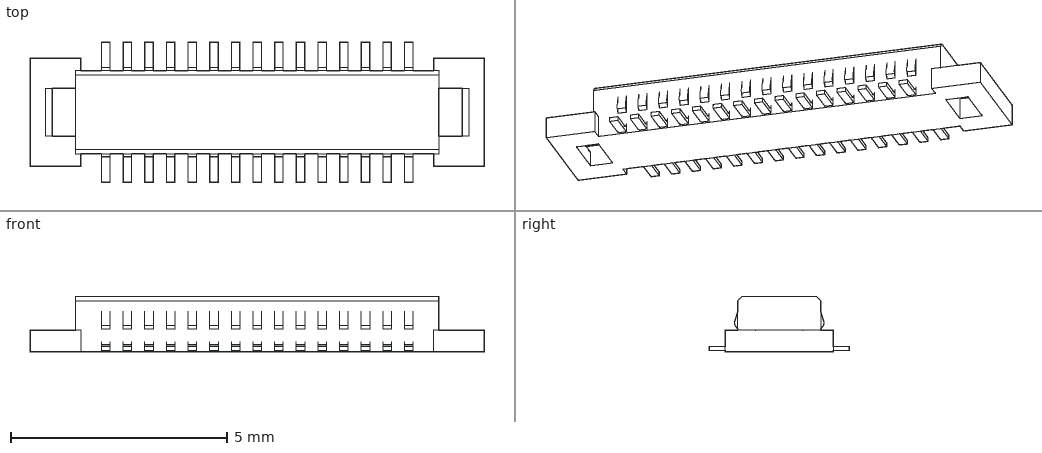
import cadquery as cq
import math

total_length = 10.5
lead_span = 3.24
total_height = 1.28

housing_length = 8.4
housing_width = 1.92
housing_chamfer = 0.1

ear_length = 1.18
ear_width = 2.5
ear_height = 0.5

slot_width = 1.1
rim_width = 0.51
rim_chamfer = 0.16

contacts_per_side = 15
contact_row_length = 7.0
contact_pitch = contact_row_length / (contacts_per_side - 1)
contact_width = 0.2
lead_bottom = 0.03
lead_thickness = 0.09
heel_radius = 0.1
heel_facets = 3
bump_bottom = 0.52
bump_top = 0.93
crest_bottom = 0.61
crest_middle = 0.65
crest_top = 0.69
crest_reach = 0.07
crest_drop = 0.01
contact_root = 0.1

half_length = total_length / 2
half_housing = housing_length / 2
housing_side = housing_width / 2
root_y = housing_side - contact_root


def make_housing():
    block = cq.Workplane("XY").box(
        housing_length, housing_width, total_height, centered=(True, True, False)
    )
    return block.faces(">Z").edges("|X").chamfer(housing_chamfer)


def make_ear():
    """Ear at the +X end, cut through between its rim and the housing end."""
    ear = cq.Workplane("XY").box(
        ear_length, ear_width, ear_height, centered=(False, True, False)
    ).translate((half_length - ear_length, 0, 0))
    rim_x = half_length - rim_width
    slot = (
        cq.Workplane("XZ")
        .moveTo(half_housing, 0)
        .lineTo(rim_x, 0)
        .lineTo(rim_x, ear_height - rim_chamfer)
        .lineTo(rim_x + rim_chamfer, ear_height)
        .lineTo(half_housing, ear_height)
        .close()
        .extrude(slot_width / 2, both=True)
    )
    return ear.cut(slot)


def extrude_contact_profile(points):
    """Extrude a (Y, Z) outline across the width of one contact."""
    return cq.Workplane("YZ").polyline(points).close().extrude(contact_width / 2, both=True)


def make_lead():
    """Flat solder lead with a concave, faceted quarter-round heel against the housing."""
    lead_top = lead_bottom + lead_thickness
    heel_angles = [math.pi / 2 * i / heel_facets for i in range(heel_facets + 1)]
    heel = [
        (
            housing_side + heel_radius * (1 - math.sin(angle)),
            lead_top + heel_radius * (1 - math.cos(angle)),
        )
        for angle in heel_angles
    ]
    return extrude_contact_profile([
        (root_y, lead_bottom),
        (lead_span / 2, lead_bottom),
        (lead_span / 2, lead_top),
        *heel,
        (root_y, lead_top + heel_radius),
    ])


def make_bump():
    """Bent part of the contact standing proud of the housing side, with a faceted crest."""
    return extrude_contact_profile([
        (root_y, bump_bottom),
        (housing_side, bump_bottom),
        (housing_side + crest_reach - crest_drop, crest_bottom),
        (housing_side + crest_reach, crest_middle),
        (housing_side + crest_reach, crest_top),
        (housing_side, bump_top),
        (root_y, bump_top),
    ])


ear = make_ear()
result = make_housing().union(ear).union(ear.mirror("YZ"))

for i in range(contacts_per_side):
    contact_x = i * contact_pitch - contact_row_length / 2
    for shape in (make_lead(), make_bump()):
        contact_part = shape.translate((contact_x, 0, 0))
        result = result.union(contact_part).union(contact_part.mirror("XZ"))